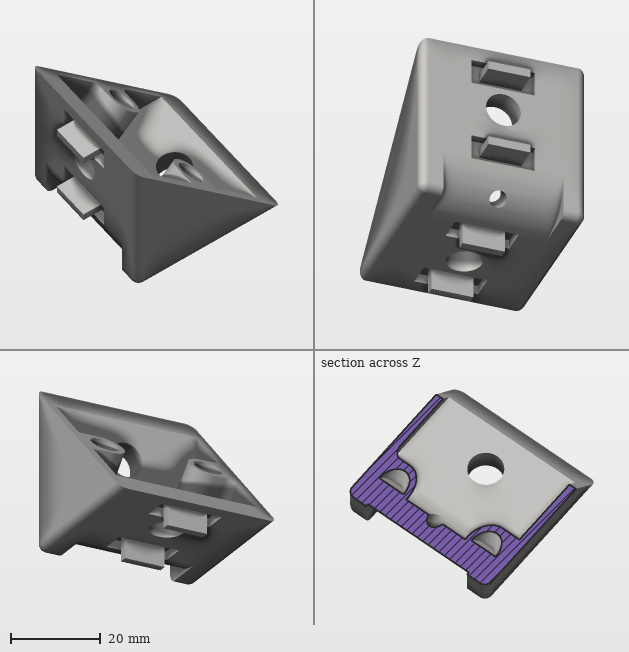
import cadquery as cq
import math

leg = 40.0
width = 39.5
edge_radius = 2.0
wall = 5.55
side_wall = 1.93

relief_width = 28.43
relief_radius = 11.4
corner_hole_diameter = 4.0

bolt_diameter = 8.25
bolt_position = 24.95
tab_positions = (13.55, 33.45)
tab_width, tab_thickness, tab_height = 10.0, 2.0, 3.8
recess_width, recess_length, recess_depth = 15.05, 6.0, 2.2

boss_x = 13.0
boss_radius = 4.75
boss_hole_diameter = 6.75
boss_hole_depth = 17.5
web_fillet = 2.0

slope_middle = leg / 2
corner_distance = leg / math.sqrt(2)


def wedge(start, length):
    """Full-height triangular prism, with its square corner at (start, start)."""
    end = leg - start
    return (
        cq.Workplane("YZ")
        .polyline([(start, start), (end, start), (start, end)])
        .close()
        .extrude(length / 2, both=True)
    )


def box(width_x, y_range, z_range):
    """Block centred on X = 0 that spans the given Y and Z ranges."""
    return cq.Workplane("XY").box(
        width_x, y_range[1] - y_range[0], z_range[1] - z_range[0], centered=(True, False, False)
    ).translate((0, y_range[0], z_range[0]))


def on_both_walls(shape):
    """Shape on the front wall joined with its mirror image on the bottom wall."""
    return shape.union(shape.rotate((0, 0, 0), (0, 1, 1), 180))


def make_block():
    block = wedge(0, width)
    corner_edge = block.edges(cq.selectors.NearestToPointSelector((0, 0, 0)))
    edges = block.edges("|Z").add(block.edges("|Y")).add(corner_edge)
    return block.newObject(edges.vals()).fillet(edge_radius)


def make_relief():
    blank = box(relief_width, (0, relief_radius), (0, relief_radius))
    round_bar = (
        cq.Workplane("YZ")
        .center(relief_radius, relief_radius)
        .circle(relief_radius)
        .extrude(relief_width / 2, both=True)
    )
    return blank.cut(round_bar)


def make_cavity():
    cavity = wedge(wall, width - 2 * side_wall)
    inner_corner = cq.selectors.NearestToPointSelector((0, wall, wall))
    return cavity.edges(inner_corner).fillet(relief_radius - wall)


def slope_plane(x):
    return cq.Workplane(
        cq.Plane(origin=(x, slope_middle, slope_middle), xDir=(1, 0, 0), normal=(0, 1, 1))
    )


def make_boss(side):
    """Round boss and its web to the side wall; side is -1 or 1."""
    boss = slope_plane(side * boss_x).circle(boss_radius).extrude(-corner_distance)
    web_length = width / 2 - side_wall - boss_x
    web = (
        slope_plane(side * (boss_x + web_length / 2))
        .rect(web_length, 2 * boss_radius)
        .extrude(-corner_distance)
    )
    return boss.union(web)


def make_web_fillets():
    """Concave corner fillings on both flanks of the -X web."""
    wall_x = side_wall - width / 2
    size = 2 * (boss_radius + web_fillet)
    filling = (
        slope_plane(wall_x + web_fillet / 2).rect(web_fillet, size).extrude(-corner_distance)
    )
    hollows = (
        slope_plane(wall_x + web_fillet)
        .pushPoints([(0, -size / 2), (0, size / 2)])
        .circle(web_fillet)
        .extrude(-corner_distance)
    )
    return filling.cut(hollows)


def make_bolt_hole():
    return (
        cq.Workplane("XZ")
        .center(0, bolt_position)
        .circle(bolt_diameter / 2)
        .extrude(-leg)
    )


def make_recess(position):
    half = recess_length / 2
    return box(recess_width, (0, recess_depth), (position - half, position + half))


def make_tab(position):
    half = tab_thickness / 2
    return box(tab_width, (-tab_height, recess_depth), (position - half, position + half))


cavity = make_cavity()
for side in (-1, 1):
    cavity = cavity.cut(make_boss(side))
cavity = cavity.cut(make_web_fillets())

result = make_block().cut(make_relief()).cut(cavity)

boss_holes = (
    slope_plane(0)
    .pushPoints([(-boss_x, 0), (boss_x, 0)])
    .circle(boss_hole_diameter / 2)
    .extrude(-boss_hole_depth)
)
corner_hole = slope_plane(0).circle(corner_hole_diameter / 2).extrude(-corner_distance)
result = result.cut(boss_holes).cut(corner_hole).cut(on_both_walls(make_bolt_hole()))

for position in tab_positions:
    result = result.cut(on_both_walls(make_recess(position)))
for position in tab_positions:
    result = result.union(on_both_walls(make_tab(position)))